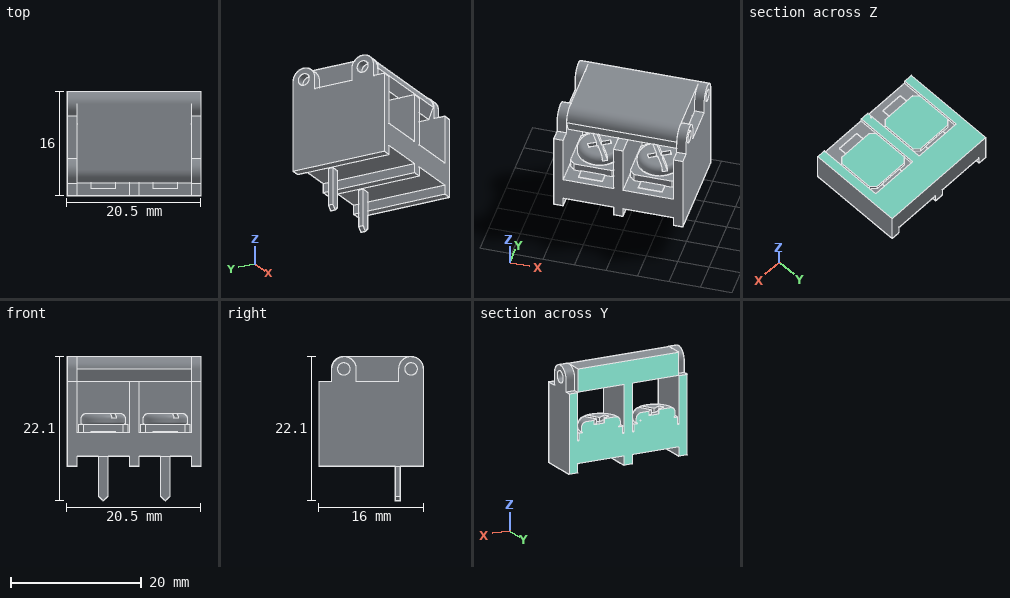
import cadquery as cq


wall = 1.5
cell_width = 8.0
pole_count = 2
pitch = cell_width + wall
width = pole_count * pitch + wall
depth = 16.0
front_y = -depth / 2
back_y = depth / 2
shoulder_z = 13.0
floor_z = 5.2
foot_height = 1.5
cell_back_y = 3.0
pole_xs = [(i - (pole_count - 1) / 2) * pitch for i in range(pole_count)]

lug_radius = 1.9
lug_setback = 1.9
pivot_hole_diameter = 1.9
pivot_z = shoulder_z + lug_radius
top_z = pivot_z + lug_radius
lug_ys = [front_y + lug_setback + lug_radius, back_y - lug_radius]
lid_clearance = 0.12
lid_front_y = front_y + lug_setback + lid_clearance
lid_lip_y = -5.2

strip_width = 3.8
strip_rise = 0.1
strip_thickness = 0.8
strip_front_y = -6.85
pin_width = 1.5
pin_thickness = 0.8
pin_y = 4.05
pin_tip_z = -5.3
pin_taper = 0.7

screw_y = -1.5
plate_size = 7.6
plate_chamfer = 0.8
plate_top_z = 6.4
head_diameter = 6.84
head_top_z = 8.1
head_top_round = 0.9
head_bottom_round = 0.3
slot_width = 0.8
slot_depth = 0.7
slot_angle = 30.0
cross_slot_length = 3.6


def box(x_min, x_max, y_min, y_max, z_min, z_max):
    """Axis-aligned box between the given limits."""
    size = (x_max - x_min, y_max - y_min, z_max - z_min)
    return cq.Workplane("XY").box(*size, centered=False).translate((x_min, y_min, z_min))


def make_lug(x_min, y):
    """Round-topped lug standing on a side wall, with its pivot hole."""
    lug = (
        cq.Workplane("YZ", origin=(x_min, y, 0))
        .moveTo(-lug_radius, shoulder_z)
        .lineTo(-lug_radius, pivot_z)
        .threePointArc((0, top_z), (lug_radius, pivot_z))
        .lineTo(lug_radius, shoulder_z)
        .close()
        .extrude(wall)
    )
    hole = (
        cq.Workplane("YZ", origin=(x_min, y, pivot_z))
        .circle(pivot_hole_diameter / 2)
        .extrude(wall)
    )
    return lug.cut(hole)


def make_housing():
    """Block with open-fronted cells, feet below the walls and four lugs."""
    housing = box(-width / 2, width / 2, front_y, back_y, 0, shoulder_z)
    for x in pole_xs:
        x_min = x - cell_width / 2
        x_max = x + cell_width / 2
        housing = housing.cut(box(x_min, x_max, front_y, cell_back_y, floor_z, shoulder_z))
        housing = housing.cut(box(x_min, x_max, front_y, back_y, 0, foot_height))
    for x_min in (-width / 2, width / 2 - wall):
        for y in lug_ys:
            housing = housing.union(make_lug(x_min, y))
    return housing


def make_lid():
    """Lid between the lugs, rounded front and back, with a slanted front lip."""
    inner_width = width - 2 * wall
    return (
        cq.Workplane("YZ", origin=(-inner_width / 2, 0, 0))
        .moveTo(lid_lip_y, shoulder_z)
        .lineTo(lid_front_y, pivot_z)
        .radiusArc((lid_front_y + lug_radius, top_z), lug_radius)
        .lineTo(back_y - lug_radius, top_z)
        .radiusArc((back_y, pivot_z), lug_radius)
        .lineTo(back_y, shoulder_z)
        .close()
        .extrude(inner_width)
    )


def make_terminal(x):
    """Flat strip set in the floor, joined to a pin that points downward."""
    strip_top_z = floor_z + strip_rise
    pin_back_y = pin_y + pin_thickness / 2
    strip = box(
        x - strip_width / 2, x + strip_width / 2,
        strip_front_y, pin_back_y,
        strip_top_z - strip_thickness, strip_top_z,
    )
    shoulder = pin_tip_z + pin_taper
    pin = (
        cq.Workplane("XZ", origin=(x, pin_back_y, 0))
        .moveTo(-pin_width / 2, strip_top_z)
        .lineTo(-pin_width / 2, shoulder)
        .lineTo(0, pin_tip_z)
        .lineTo(pin_width / 2, shoulder)
        .lineTo(pin_width / 2, strip_top_z)
        .close()
        .extrude(pin_thickness)
    )
    return strip.union(pin)


def make_clamp(x):
    """Square clamp plate with cut corners under a rounded, cross-recessed screw head."""
    half = plate_size / 2
    plate = (
        box(x - half, x + half, screw_y - half, screw_y + half, floor_z, plate_top_z)
        .edges("|Z")
        .chamfer(plate_chamfer)
    )
    head = (
        cq.Workplane("XY", origin=(x, screw_y, plate_top_z))
        .circle(head_diameter / 2)
        .extrude(head_top_z - plate_top_z)
        .faces(">Z").edges().fillet(head_top_round)
        .faces("<Z").edges().fillet(head_bottom_round)
    )
    recess_plane = (
        cq.Workplane("XY", origin=(x, screw_y, head_top_z))
        .transformed(rotate=(0, 0, slot_angle))
    )
    main_slot = recess_plane.rect(slot_width, head_diameter).extrude(-slot_depth)
    cross_slot = recess_plane.rect(cross_slot_length, slot_width).extrude(-slot_depth)
    return plate.union(head.cut(main_slot).cut(cross_slot))


result = make_housing().union(make_lid())
for pole_x in pole_xs:
    result = result.union(make_terminal(pole_x)).union(make_clamp(pole_x))